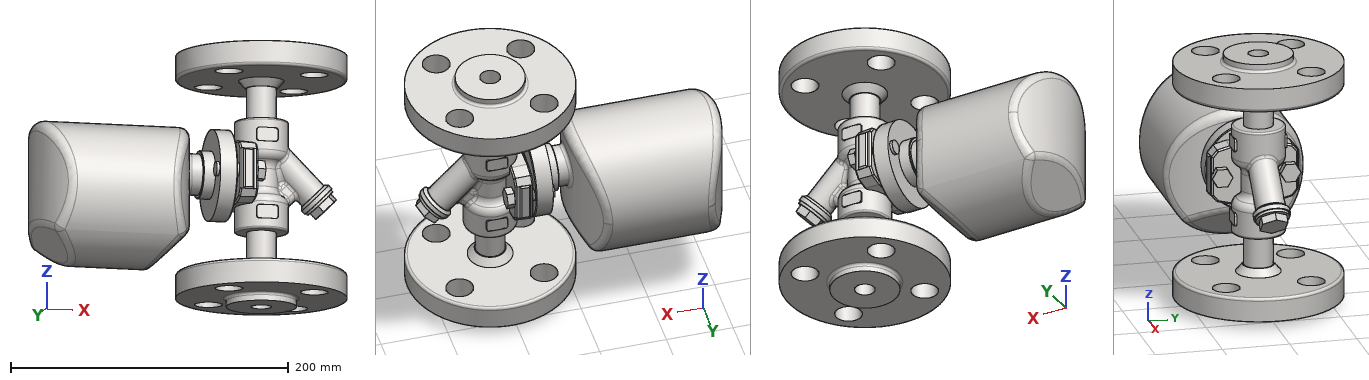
import cadquery as cq
import math


overall_length = 232.7
half_length = 190.0 / 2
bore_diameter = 15.0
pipe_radius = 21.6 / 2
flange_radius = 124.0 / 2
flange_outer_z = 89.0
flange_inner_z = 71.0
flange_edge_round = 2.0
raised_face_radius = 50.7 / 2
raised_face_fillet = 2.0
weld_neck_radius = 33.0 / 2
weld_neck_end_radius = 23.0 / 2
weld_neck_end_z = 65.4
bolt_hole_diameter = 20.0
bolt_hole_offset = 31.6
bolt_hole_count = 4
bolt_hole_start_angle = 45

hub_radius = 39.0 / 2
hub_half_length = 40.7
hub_edge_round = 1.5
waist_radius = 25.0 / 2
waist_top_z = 4.7
waist_bottom_z = -8.5
upper_hub_z = 17.2
lower_hub_z = -20.7
label_width = 15.8
label_height = 10.0
label_center_z = 28.5
label_face_y = 19.5
label_corner = 2.0

branch_angle = 45
branch_start_z = 26.8
branch_radius = 21.6 / 2
branch_hub_inset = 9.3
collar_radius = 27.0 / 2
collar_start = 35.4
collar_chamfer = 2.0
collar_end = 41.0
gasket_radius = 25.0 / 2
gasket_end = 43.0
hex_sides = 6
plug_corner_diameter = 21.6
plug_end = 49.0
web_thickness = 10.0
web_inner_position = 11.6
web_outer_position = 28.9
web_depth = 28.0
branch_fillet = 3.5
web_fillet = 2.8

block_left_x = -23.5
block_right_x = -10.0
block_chamfer = 1.2
block_draft = 3
block_half_height = 22.8
block_half_depth = 32.8
block_side_half_height = 15.0
block_shoulder_y = 28.5
block_shoulder_z = 20.2
block_top_half_width = 18.5
plate_center_x = -17.2
plate_width = 8.0
plate_height = 29.8
plate_face_y = 33.7
plate_chamfer = 1.2
disc_radius = 33.3
disc_left_x = -38.2
disc_right_x = -25.4
disc_edge_chamfer = 0.7
stem_radius = 35 / 2
stem_left_x = -47.0
stem_chamfer = 0.5
stem_neck_radius = 30.0 / 2
stem_neck_embed = 9.3
stem_flare = 2.5
stud_radius = 10.5 / 2
stud_offset_y = 25.4
stud_left_x = -40.3
nut_across_flats = 13.3
nut_right_x = -4.5

seam_tolerance = 0.0002

housing_radius = 104.0 / 2
housing_center_z = -18.8
housing_left_x = flange_radius - overall_length
housing_right_x = -55.8
housing_end_sagitta = 18.0
housing_bevel_z = -43.0
housing_edge_round = 7.5


def x_cylinder(radius, x_start, x_end, y=0.0, z=0.0):
    """Cylinder parallel to X between two X positions."""
    return cq.Workplane("YZ", origin=(x_start, y, z)).circle(radius).extrude(x_end - x_start)


def blend(base, added, radius):
    """Join a shape to a base and fillet the curved seam between them."""
    joined = base.union(added)

    def on_both(edge):
        middle = cq.Vertex.makeVertex(*edge.positionAt(0.5).toTuple())
        return all(
            min(middle.distance(face) for face in shape.faces().vals()) < seam_tolerance
            for shape in (base, added)
        )

    seam = [edge for edge in joined.edges().vals() if edge.geomType() == "BSPLINE" and on_both(edge)]
    return joined.newObject(seam).fillet(radius)


def make_flange():
    """Upper end flange with pipe stub, revolved about Z and drilled."""
    fillet_offset = raised_face_fillet * (1 - math.sqrt(0.5))
    flange = (
        cq.Workplane("XZ")
        .moveTo(0, hub_half_length)
        .lineTo(pipe_radius, hub_half_length)
        .lineTo(pipe_radius, weld_neck_end_z)
        .lineTo(weld_neck_end_radius, weld_neck_end_z)
        .lineTo(weld_neck_radius, flange_inner_z)
        .lineTo(flange_radius - flange_edge_round, flange_inner_z)
        .radiusArc((flange_radius, flange_inner_z + flange_edge_round), -flange_edge_round)
        .lineTo(flange_radius, flange_outer_z)
        .lineTo(raised_face_radius + raised_face_fillet, flange_outer_z)
        .threePointArc(
            (raised_face_radius + fillet_offset, flange_outer_z + fillet_offset),
            (raised_face_radius, flange_outer_z + raised_face_fillet),
        )
        .lineTo(raised_face_radius, half_length)
        .lineTo(0, half_length)
        .close()
        .revolve(360, (0, 0, 0), (0, 1, 0))
    )
    bolt_holes = (
        cq.Workplane("XY", origin=(0, 0, flange_inner_z))
        .polarArray(bolt_hole_offset * math.sqrt(2), bolt_hole_start_angle, 360, bolt_hole_count)
        .circle(bolt_hole_diameter / 2)
        .extrude(half_length - flange_inner_z)
    )
    return flange.cut(bolt_holes)


def make_body():
    """Two hubs joined by a narrower waist through S-shaped shoulders."""
    middle_radius = (hub_radius + waist_radius) / 2
    upper_middle_z = (upper_hub_z + waist_top_z) / 2
    lower_middle_z = (lower_hub_z + waist_bottom_z) / 2

    def shoulder_radius(height):
        step = hub_radius - waist_radius
        return (step**2 + height**2) / (4 * step)

    upper_arc = shoulder_radius(upper_hub_z - waist_top_z)
    lower_arc = shoulder_radius(waist_bottom_z - lower_hub_z)
    body = (
        cq.Workplane("XZ")
        .moveTo(0, -hub_half_length)
        .lineTo(hub_radius, -hub_half_length)
        .lineTo(hub_radius, lower_hub_z)
        .radiusArc((middle_radius, lower_middle_z), -lower_arc)
        .radiusArc((waist_radius, waist_bottom_z), lower_arc)
        .lineTo(waist_radius, waist_top_z)
        .radiusArc((middle_radius, upper_middle_z), upper_arc)
        .radiusArc((hub_radius, upper_hub_z), -upper_arc)
        .lineTo(hub_radius, hub_half_length)
        .lineTo(0, hub_half_length)
        .close()
        .revolve(360, (0, 0, 0), (0, 1, 0))
    )
    return body.faces("<Z or >Z").edges().fillet(hub_edge_round)


def make_branch():
    """Strainer branch tube, the web that ties it to the lower hub, and its end cap."""
    slope = math.radians(branch_angle)
    direction = cq.Vector(math.cos(slope), 0, -math.sin(slope))
    start = cq.Vector(0, 0, branch_start_z)
    foot_distance = branch_start_z * math.sin(slope)

    def branch_plane(position):
        origin = start + direction * (position + foot_distance)
        return cq.Workplane(cq.Plane(origin, xDir=(0, 1, 0), normal=direction))

    tube_start = branch_hub_inset - foot_distance
    tube = branch_plane(tube_start).circle(branch_radius).extrude(collar_start - tube_start)
    web_center = start + direction * ((web_inner_position + web_outer_position) / 2 + foot_distance)
    web_direction = cq.Vector(-math.sin(slope), 0, -math.cos(slope))
    web = (
        cq.Workplane(cq.Plane(web_center, xDir=direction, normal=web_direction))
        .slot2D(web_outer_position - web_inner_position, web_thickness)
        .extrude(web_depth)
    )
    collar = (
        branch_plane(collar_start)
        .circle(collar_radius)
        .extrude(collar_end - collar_start)
        .faces(cq.selectors.DirectionMinMaxSelector(direction, False))
        .chamfer(collar_chamfer)
    )
    gasket = branch_plane(collar_end).circle(gasket_radius).extrude(gasket_end - collar_end)
    plug = branch_plane(gasket_end).transformed(rotate=(0, 0, 90)).polygon(hex_sides, plug_corner_diameter)
    plug = plug.extrude(plug_end - gasket_end)
    return tube, web, collar.union(gasket).union(plug)


def make_labels():
    """Flat raised pads on the front and back of both hubs."""
    pads = cq.Workplane("XY").box(label_width, 2 * label_face_y, label_height)
    pads = pads.edges("|Y").fillet(label_corner)
    upper = pads.translate((0, 0, label_center_z))
    lower = pads.translate((0, 0, -label_center_z))
    return upper.union(lower)


def make_block():
    """Drafted mounting block with angled sides and a raised plate front and back."""
    corners = [
        (block_half_depth, block_side_half_height),
        (block_shoulder_y, block_shoulder_z),
        (block_top_half_width, block_half_height),
    ]
    outline = corners + [(-y, z) for y, z in reversed(corners)]
    outline += [(-y, -z) for y, z in outline]
    block = (
        cq.Workplane("YZ", origin=(block_left_x, 0, 0))
        .polyline(outline)
        .close()
        .extrude(block_right_x - block_left_x, taper=block_draft)
        .faces("<X or >X")
        .chamfer(block_chamfer)
    )
    plates = cq.Workplane("XY").box(plate_width, 2 * plate_face_y, plate_height)
    plates = plates.faces("<Y or >Y").chamfer(plate_chamfer)
    return block.union(plates.translate((plate_center_x, 0, 0)))


def make_stem():
    """Stem, disc, studs and nuts between the block and the housing."""
    disc = x_cylinder(disc_radius, disc_left_x, disc_right_x).faces(">X").chamfer(disc_edge_chamfer)
    stem = x_cylinder(stem_radius, stem_left_x, block_left_x).faces("<X").chamfer(stem_chamfer)
    stem = stem.union(disc)
    for side in (-1, 1):
        y = side * stud_offset_y
        stud = x_cylinder(stud_radius, stud_left_x, nut_right_x, y)
        nut = (
            cq.Workplane("YZ", origin=(block_right_x, y, 0))
            .polygon(hex_sides, nut_across_flats / math.cos(math.pi / hex_sides))
            .extrude(nut_right_x - block_right_x)
        )
        stem = stem.union(stud).union(nut)
    return stem


def make_housing():
    """Round housing with bowed ends and two 45 degree bevels underneath."""
    left_shoulder_x = housing_left_x + housing_end_sagitta
    right_shoulder_x = housing_right_x - housing_end_sagitta
    bottom_z = housing_center_z - housing_radius
    top_z = housing_center_z + housing_radius
    bevel = housing_bevel_z - bottom_z
    plan = (
        cq.Workplane("XY", origin=(0, 0, bottom_z))
        .moveTo(left_shoulder_x, -housing_radius)
        .lineTo(right_shoulder_x, -housing_radius)
        .threePointArc((housing_right_x, 0), (right_shoulder_x, housing_radius))
        .lineTo(left_shoulder_x, housing_radius)
        .threePointArc((housing_left_x, 0), (left_shoulder_x, -housing_radius))
        .close()
        .extrude(2 * housing_radius)
    )
    side = (
        cq.Workplane("XZ")
        .polyline([
            (housing_left_x, top_z),
            (housing_left_x, housing_bevel_z),
            (housing_left_x + bevel, bottom_z),
            (housing_right_x - bevel, bottom_z),
            (housing_right_x, housing_bevel_z),
            (housing_right_x, top_z),
        ])
        .close()
        .extrude(housing_radius, both=True)
    )
    barrel = x_cylinder(housing_radius, housing_left_x, housing_right_x, z=housing_center_z)
    housing = barrel.intersect(plan).intersect(side)
    return housing.edges("not |X").fillet(housing_edge_round)


tube, web, cap = make_branch()
body = blend(make_body(), tube, branch_fillet)
body = blend(body, web, web_fillet)
flange = make_flange()
neck = x_cylinder(stem_neck_radius, housing_right_x - stem_neck_embed, stem_left_x)
housing = blend(make_housing(), neck, stem_flare)
result = body.union(flange).union(flange.mirror("XY")).union(make_labels()).union(cap)
result = result.union(make_block()).union(make_stem()).union(housing)
for inner_z, outer_z in ((upper_hub_z, half_length), (lower_hub_z, -half_length)):
    bore = cq.Workplane("XY", origin=(0, 0, inner_z)).circle(bore_diameter / 2).extrude(outer_z - inner_z)
    result = result.cut(bore)